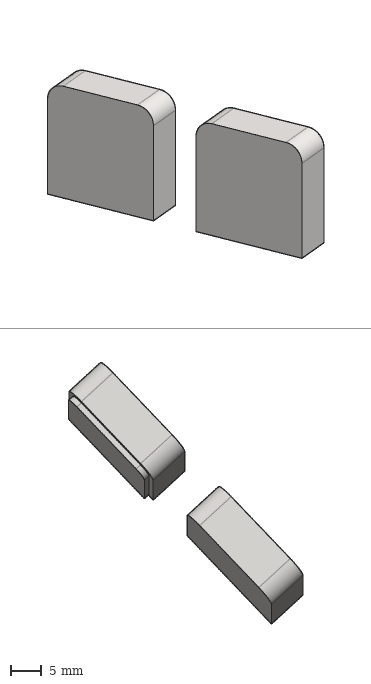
import cadquery as cq

block_width = 20.0
block_height = 20.0
block_depth = 7.0
corner_radius = 3.0
block_gap = 8.0
lip_inset = 1.0
lip_depth = 1.0

block_pitch = block_width + block_gap
plain_center_x = -block_pitch / 2
lipped_center_x = block_pitch / 2


def round_top_plate(center_x, front_y, depth, inset):
    """Plate with two rounded top corners, its outline set in evenly from that of a block."""
    width = block_width - 2 * inset
    height = block_height - 2 * inset
    return (
        cq.Workplane("XY")
        .box(width, depth, height, centered=(True, False, False))
        .edges("|Y and >Z")
        .fillet(corner_radius - inset)
        .translate((center_x, front_y, inset))
    )


def make_plain_block():
    """Block with a plain back face."""
    return round_top_plate(plain_center_x, 0, block_depth, 0)


def make_lipped_block():
    """Block with a raised lip, set in from its outline, on the back face."""
    body = round_top_plate(lipped_center_x, 0, block_depth, 0)
    lip = round_top_plate(lipped_center_x, block_depth, lip_depth, lip_inset)
    return body.union(lip)


plain_block = make_plain_block()
lipped_block = make_lipped_block()

result = cq.Compound.makeCompound([plain_block.val(), lipped_block.val()])